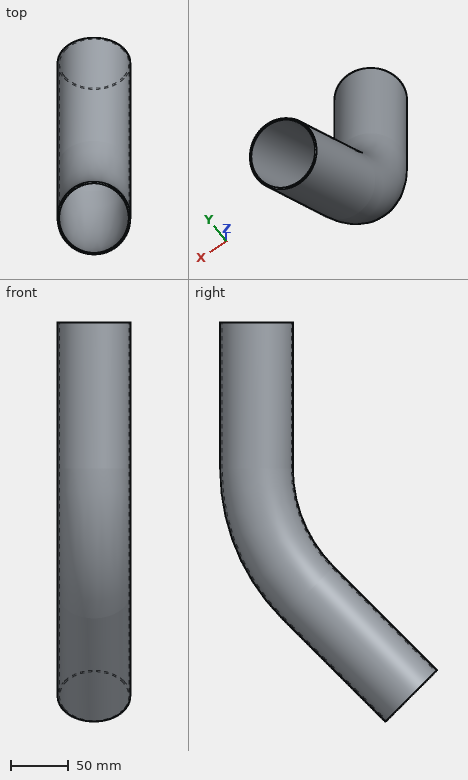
import cadquery as cq
import math

outer_diameter = 63.5
inner_diameter = 60.3

leg_length = 127.0
bend_radius = 152.4
bend_angle = math.radians(45)


def bend_point(angle):
    """Centreline point (Y, Z) at the given angle into the bend, which starts at the origin."""
    return (bend_radius * (1 - math.cos(angle)), -bend_radius * math.sin(angle))


def make_centreline():
    """Path in the YZ plane, from the upper open end to the lower open end."""
    bend_middle = bend_point(bend_angle / 2)
    bend_end = bend_point(bend_angle)
    lower_end = (
        bend_end[0] + leg_length * math.sin(bend_angle),
        bend_end[1] - leg_length * math.cos(bend_angle),
    )
    return (
        cq.Workplane("YZ")
        .moveTo(0, leg_length)
        .lineTo(0, 0)
        .threePointArc(bend_middle, bend_end)
        .lineTo(*lower_end)
    )


def make_tube():
    """Ring section at the upper end, swept along the centreline."""
    ring = (
        cq.Workplane("XY", origin=(0, 0, leg_length))
        .circle(outer_diameter / 2)
        .circle(inner_diameter / 2)
    )
    return ring.sweep(make_centreline())


result = make_tube()